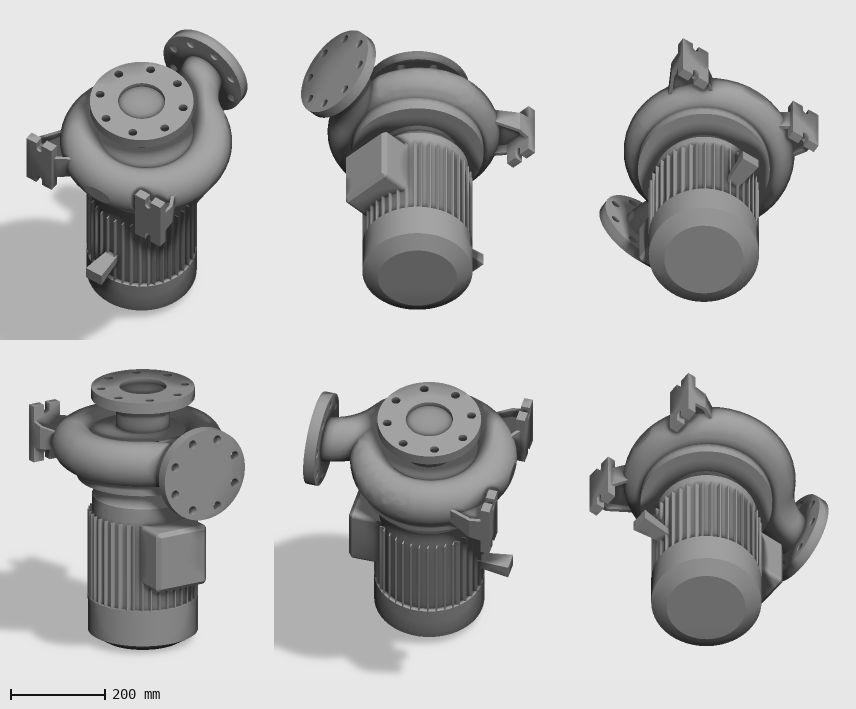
import cadquery as cq
import math


FLANGE_THICKNESS = 24
FLANGE_HOLE_DIAMETER = 19
FLANGE_HOLE_COUNT = 8
SUCTION_FACE_Z = 125
SUCTION_FLANGE_DIAMETER = 220
SUCTION_BOLT_CIRCLE = 180
SUCTION_NECK_DIAMETER = 115
SUCTION_BORE_DIAMETER = 100
SUCTION_BORE_DEPTH = 11
DISCHARGE_FACE_Y = 250
DISCHARGE_FLANGE_DIAMETER = 200
DISCHARGE_BOLT_CIRCLE = 160

TUBE_RADIUS = 47.5
VOLUTE_RADIUS = 135.5
VOLUTE_CENTER_X = 11
SIDE_WALL_RADIUS = 100
SIDE_WALL_RISE = 8
TONGUE_TUBE_RADIUS = 42
TONGUE_ANGLE = 75
BASE_Y = -180

FOOT_SPACING = 280
FOOT_WIDTH = 65
FOOT_HEIGHT = 125
FOOT_THICKNESS = 19
FOOT_SLOT_WIDTH = 14
FOOT_SLOT_SPACING = 95
BRACKET_WALL = 7
BRACKET_WEB_THICKNESS = 12
BRACKET_BASE_HALF_HEIGHT = 29
BRACKET_TAPER = 0.16
BRACKET_BEND_Y = -135
BRACKET_OUTER_END = (-130, -53)
BRACKET_INNER_END = (-62, -140)

COVER_RADIUS = 117
FRAME_RADIUS = 108
LANTERN_RADIUS = 87.5
CASING_COVER_RADIUS = 140
END_RADIUS = 84
CASING_COVER_BOTTOM_Z = -73
LANTERN_BOTTOM_Z = -85
FRAME_TOP_Z = -114
FIN_TOP_Z = -150
FIN_BOTTOM_Z = -340.5
COVER_BOTTOM_Z = -418.5
MOTOR_BOTTOM_Z = -438

FIN_COUNT = 40
FIN_THICKNESS = 2.5

BOX_WIDTH = 124
BOX_TOP_Z = FIN_TOP_Z
BOX_BOTTOM_Z = -282.5
BOX_FACE_Y = 162
BOX_EDGE_RADIUS = 9
BOX_FACE_CHAMFER = 8.5

SUPPORT_Z = -273.5
SUPPORT_TIP_Y = -179
SUPPORT_TIP_WIDTH = 40
SUPPORT_TIP_HEIGHT = 29.5
SUPPORT_ROOT_WIDTH = 26
SUPPORT_ROOT_HEIGHT = 19


def cylinder(radius, bottom_z, top_z, center_x=0):
    return cq.Workplane("XY", origin=(center_x, 0, bottom_z)).circle(radius).extrude(top_z - bottom_z)


def flange(face, diameter, bolt_circle):
    """Round flange whose outer face lies on the plane, with the holes straddling the axes."""
    half_pitch = 180 / FLANGE_HOLE_COUNT
    disc = face.circle(diameter / 2).extrude(-FLANGE_THICKNESS)
    holes = (
        face.polarArray(bolt_circle / 2, half_pitch, 360, FLANGE_HOLE_COUNT)
        .circle(FLANGE_HOLE_DIAMETER / 2)
        .extrude(-FLANGE_THICKNESS)
    )
    return disc.cut(holes)


def bent_tube(center_x, center_y, bend_radius, start_angle, sweep_angle):
    """Tube of the volute section bent about a vertical axis, counter-clockwise from start_angle."""
    tube = (
        cq.Workplane("XZ", origin=(center_x, center_y, 0))
        .center(bend_radius, 0)
        .circle(TUBE_RADIUS)
        .revolve(sweep_angle, (-bend_radius, 0), (-bend_radius, 1))
    )
    return tube.rotate((center_x, center_y, 0), (center_x, center_y, 1), start_angle)


def tongue():
    """Narrowing start of the spiral, bent about the shaft axis and ending inside the throat."""
    bend_radius = VOLUTE_RADIUS - VOLUTE_CENTER_X

    def point(angle):
        turn = math.radians(angle)
        return (bend_radius * math.cos(turn), bend_radius * math.sin(turn))

    path = (
        cq.Workplane("XY")
        .moveTo(*point(180))
        .threePointArc(point((180 + TONGUE_ANGLE) / 2), point(TONGUE_ANGLE))
    )
    end_turn = math.radians(TONGUE_ANGLE)
    start_plane = cq.Plane(origin=(*point(180), 0), xDir=(1, 0, 0), normal=(0, 1, 0))
    end_plane = cq.Plane(
        origin=(*point(TONGUE_ANGLE), 0),
        xDir=(-math.cos(end_turn), -math.sin(end_turn), 0),
        normal=(math.sin(end_turn), -math.cos(end_turn), 0),
    )
    start = cq.Workplane(start_plane).circle(TUBE_RADIUS).wires().val()
    end = cq.Workplane(end_plane).circle(TONGUE_TUBE_RADIUS).wires().val()
    return cq.Workplane("XY").add(cq.Solid.sweep_multi([start, end], path.val()))


def volute():
    """Spiral tube with its tongue, outlet bend, side walls, casing cover and discharge flange."""
    rise = DISCHARGE_FACE_Y**2 + VOLUTE_CENTER_X**2 - VOLUTE_RADIUS**2
    outlet_radius = rise / (2 * (VOLUTE_RADIUS + VOLUTE_CENTER_X))
    throat_angle = math.degrees(math.asin(DISCHARGE_FACE_Y / (VOLUTE_RADIUS + outlet_radius)))
    spiral = bent_tube(VOLUTE_CENTER_X, 0, VOLUTE_RADIUS, 180, 180 + throat_angle)
    outlet = bent_tube(outlet_radius, DISCHARGE_FACE_Y, outlet_radius, 180, throat_angle)

    side_wall_z = math.sqrt(TUBE_RADIUS**2 - (VOLUTE_RADIUS - SIDE_WALL_RADIUS) ** 2)
    side_walls = cylinder(SIDE_WALL_RADIUS, -side_wall_z, side_wall_z, VOLUTE_CENTER_X)
    neck_radius = SUCTION_NECK_DIAMETER / 2
    cone = (
        cq.Workplane("XZ", origin=(VOLUTE_CENTER_X, 0, side_wall_z))
        .polyline([(0, 0), (SIDE_WALL_RADIUS, 0), (neck_radius, SIDE_WALL_RISE), (0, SIDE_WALL_RISE)])
        .close()
        .revolve(360, (0, 0), (0, 1))
    )
    casing_cover = cylinder(CASING_COVER_RADIUS, CASING_COVER_BOTTOM_Z, -side_wall_z)
    body = side_walls.union(cone).union(casing_cover).union(spiral).union(tongue()).union(outlet)

    trim_size = 2 * VOLUTE_RADIUS
    below_base = cq.Workplane("XY").box(trim_size, trim_size, trim_size)
    below_base = below_base.translate((VOLUTE_CENTER_X, BASE_Y - trim_size / 2, 0))
    outlet_face = cq.Workplane("XZ", origin=(0, DISCHARGE_FACE_Y, 0)).transformed(rotate=(180, 0, 0))
    discharge = flange(outlet_face, DISCHARGE_FLANGE_DIAMETER, DISCHARGE_BOLT_CIRCLE)
    return body.cut(below_base).union(discharge)


def suction_port():
    """Neck and flange on the shaft axis, with a shallow blind bore."""
    face = cq.Workplane("XY", origin=(0, 0, SUCTION_FACE_Z))
    neck = cylinder(SUCTION_NECK_DIAMETER / 2, 0, SUCTION_FACE_Z - FLANGE_THICKNESS)
    bore = face.circle(SUCTION_BORE_DIAMETER / 2).extrude(-SUCTION_BORE_DEPTH)
    return neck.union(flange(face, SUCTION_FLANGE_DIAMETER, SUCTION_BOLT_CIRCLE)).cut(bore)


def foot_plate():
    """Left foot: upright plate with an open slot at the top and the bottom."""
    center_x = -FOOT_SPACING / 2
    center_y = BASE_Y + FOOT_THICKNESS / 2
    plate = cq.Workplane("XY").box(FOOT_WIDTH, FOOT_THICKNESS, FOOT_HEIGHT).translate((center_x, center_y, 0))
    slot_length = FOOT_HEIGHT / 2
    for side in (-1, 1):
        slot = (
            cq.Workplane("XZ", origin=(center_x, center_y, 0))
            .center(0, side * (FOOT_SLOT_SPACING + slot_length) / 2)
            .slot2D(slot_length + FOOT_SLOT_WIDTH, FOOT_SLOT_WIDTH, 90)
            .extrude(FOOT_THICKNESS, both=True)
        )
        plate = plate.cut(slot)
    return plate


def foot_bracket():
    """Left bracket between foot and volute: two walls joined by a web, lower towards the volute."""
    plate_back_y = BASE_Y + FOOT_THICKNESS
    outer_x = -(FOOT_SPACING + FOOT_WIDTH) / 2
    inner_x = outer_x + FOOT_WIDTH
    plate_middle_y = BASE_Y + FOOT_THICKNESS / 2
    outline = [
        (outer_x, plate_middle_y),
        (outer_x, BRACKET_BEND_Y),
        BRACKET_OUTER_END,
        BRACKET_INNER_END,
        (inner_x, plate_middle_y),
    ]
    block = cq.Workplane("XY").polyline(outline).close().extrude(BRACKET_BASE_HALF_HEIGHT, both=True)
    inside = (
        cq.Workplane("XY")
        .polyline(outline)
        .close()
        .offset2D(-BRACKET_WALL)
        .extrude(BRACKET_BASE_HALF_HEIGHT, both=True)
    )
    web = cq.Workplane("XY").polyline(outline).close().extrude(BRACKET_WEB_THICKNESS / 2, both=True)
    end_y = BRACKET_OUTER_END[1]
    end_half_height = BRACKET_BASE_HALF_HEIGHT - BRACKET_TAPER * (end_y - plate_back_y)
    side_profile = (
        cq.Workplane("YZ")
        .polyline(
            [
                (BASE_Y, BRACKET_BASE_HALF_HEIGHT),
                (plate_back_y, BRACKET_BASE_HALF_HEIGHT),
                (end_y, end_half_height),
                (end_y, -end_half_height),
                (plate_back_y, -BRACKET_BASE_HALF_HEIGHT),
                (BASE_Y, -BRACKET_BASE_HALF_HEIGHT),
            ]
        )
        .close()
        .extrude(-FOOT_SPACING)
    )
    return block.cut(inside).union(web).intersect(side_profile)


def motor_body():
    """Lantern, frame and end cover as one turned body."""
    profile = [
        (0, CASING_COVER_BOTTOM_Z),
        (LANTERN_RADIUS, CASING_COVER_BOTTOM_Z),
        (LANTERN_RADIUS, LANTERN_BOTTOM_Z),
        (FRAME_RADIUS, FRAME_TOP_Z),
        (FRAME_RADIUS, FIN_BOTTOM_Z),
        (COVER_RADIUS, FIN_BOTTOM_Z),
        (COVER_RADIUS, COVER_BOTTOM_Z),
        (END_RADIUS, MOTOR_BOTTOM_Z),
        (0, MOTOR_BOTTOM_Z),
    ]
    return cq.Workplane("XZ").polyline(profile).close().revolve(360, (0, 0), (0, 1))


def cooling_fins():
    """Fins parallel to X or Y in four quadrants, evenly spaced in angle and flush with the cover."""
    fin_height = FIN_TOP_Z - FIN_BOTTOM_Z
    middle_z = (FIN_TOP_Z + FIN_BOTTOM_Z) / 2
    pitch = math.radians(360 / FIN_COUNT)
    fins_per_half_quadrant = FIN_COUNT // (2 * 4)
    fins = cq.Workplane("XY")
    for step in range(fins_per_half_quadrant):
        offset = COVER_RADIUS * math.sin((step + 0.5) * pitch)
        span = 2 * math.sqrt(COVER_RADIUS**2 - (offset + FIN_THICKNESS / 2) ** 2)
        along_x = cq.Workplane("XY").box(span, FIN_THICKNESS, fin_height)
        along_y = cq.Workplane("XY").box(FIN_THICKNESS, span, fin_height)
        for side in (-1, 1):
            fins = fins.union(along_x.translate((0, side * offset, middle_z)))
            fins = fins.union(along_y.translate((side * offset, 0, middle_z)))
    return fins


def terminal_box():
    height = BOX_TOP_Z - BOX_BOTTOM_Z
    return (
        cq.Workplane("XY")
        .box(BOX_WIDTH, BOX_FACE_Y, height)
        .edges("|Y")
        .fillet(BOX_EDGE_RADIUS)
        .faces(">Y")
        .edges()
        .chamfer(BOX_FACE_CHAMFER)
        .translate((0, BOX_FACE_Y / 2, BOX_BOTTOM_Z + height / 2))
    )


def motor_support():
    """Tapered block that widens from the fins to its flat tip."""
    length = -FRAME_RADIUS - SUPPORT_TIP_Y
    return (
        cq.Workplane("XZ", origin=(0, -FRAME_RADIUS, SUPPORT_Z))
        .rect(SUPPORT_ROOT_WIDTH, SUPPORT_ROOT_HEIGHT)
        .workplane(offset=length)
        .rect(SUPPORT_TIP_WIDTH, SUPPORT_TIP_HEIGHT)
        .loft()
    )


foot = foot_plate().union(foot_bracket())
pump = volute().union(foot).union(foot.mirror("YZ")).union(suction_port())
motor = motor_body().union(cooling_fins()).union(terminal_box()).union(motor_support())
result = pump.union(motor)